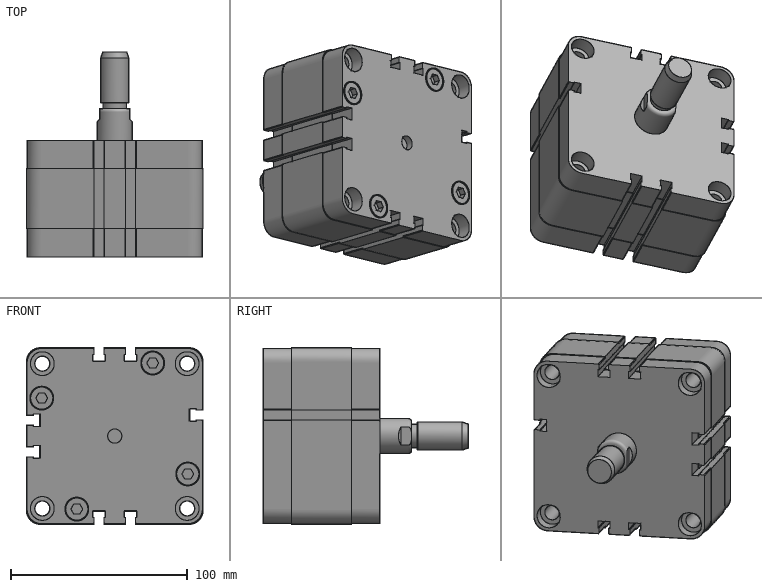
import cadquery as cq
import math

TOTAL_LENGTH = 116.0
HOUSING_LENGTH = 66.0
HOUSING_SIZE = 100.0
FRONT_CAP_LENGTH = 16.1
REAR_CAP_LENGTH = 16.0
CAP_INSET = 0.5
CORNER_RADIUS = 8.0

FRONT_Y = -TOTAL_LENGTH / 2
REAR_Y = FRONT_Y + HOUSING_LENGTH
ROD_END_Y = TOTAL_LENGTH / 2

SLOT_MOUTH_WIDTH = 5.6
SLOT_OVERSHOOT = 1.2
SLOT_MOUTH_DEPTH = 4.0
SLOT_HEAD_WIDTH = 7.0
SLOT_DEPTH = 7.4
SLOT_EDGE_CHAMFER = 0.5
SLOT_OFFSET = 8.9
SINGLE_SLOT_OFFSET = 12.0

MOUNT_OFFSET = 41.0
MOUNT_DIAMETER = 8.4
MOUNT_BORE_DIAMETER = 13.5
MOUNT_BORE_DEPTH = 8.5

SCREW_NEAR = 21.5
SCREW_FAR = 41.3
SCREW_BORE_DIAMETER = 13.5
SCREW_HEAD_DIAMETER = 12.5
SCREW_GAP_DEPTH = 0.6
HEX_FLATS = 5.8
HEX_DEPTH = 4.0

CENTRE_HOLE_DIAMETER = 8.0
CENTRE_HOLE_DEPTH = 4.4

ROD_DIAMETER = 20.0
ROD_SHOULDER_LENGTH = 18.0
ROD_FILLET = 2.0
THREAD_DIAMETER = 16.0
THREAD_LENGTH = 28.9
THREAD_TIP_DIAMETER = 13.7
THREAD_TIP_LENGTH = 3.5
THREAD_START_CHAMFER = 0.3
UNDERCUT_DIAMETER = 13.5
FLAT_SPACING = 17.0
FLAT_LENGTH = 6.0


def profile_plane(y):
    """Plane facing +Y at position y, with local axes (Z, X)."""
    return cq.Plane(origin=(0, y, 0), xDir=(0, 0, 1), normal=(0, 1, 0))


def cylinder(diameter, y_start, y_end, x=0.0, z=0.0):
    sketch = cq.Workplane(profile_plane(y_start)).center(z, x)
    return sketch.circle(diameter / 2).extrude(y_end - y_start)


def slot_cutter(inset, offset, turn, y_start, y_end):
    """T-slot in the +Z face at x = offset, turned about Y; cap slots get chamfered mouth edges."""
    face = HOUSING_SIZE / 2 - inset
    outside = face + SLOT_OVERSHOOT
    mouth = SLOT_MOUTH_WIDTH / 2
    ceiling = HOUSING_SIZE / 2 - SLOT_MOUTH_DEPTH
    floor = face - SLOT_DEPTH
    length = y_end - y_start
    stem = cq.Workplane(profile_plane(y_start)).moveTo((floor + outside) / 2, offset)
    stem = stem.rect(outside - floor, SLOT_MOUTH_WIDTH).extrude(length)
    undercut = cq.Workplane(profile_plane(y_start)).moveTo((floor + ceiling) / 2, offset)
    undercut = undercut.rect(ceiling - floor, SLOT_HEAD_WIDTH).extrude(length)
    cutter = stem.union(undercut)
    if inset > 0:
        flare = [
            (face - SLOT_EDGE_CHAMFER, offset - mouth),
            (face, offset - mouth - SLOT_EDGE_CHAMFER),
            (face, offset + mouth + SLOT_EDGE_CHAMFER),
            (face - SLOT_EDGE_CHAMFER, offset + mouth),
        ]
        cutter = cutter.union(cq.Workplane(profile_plane(y_start)).polyline(flare).close().extrude(length))
    return cutter.rotate((0, 0, 0), (0, 1, 0), turn)


def housing_section(inset, y_start, y_end):
    side = HOUSING_SIZE - 2 * inset
    section = cq.Workplane(profile_plane(y_start)).rect(side, side).extrude(y_end - y_start)
    section = section.edges("|Y").fillet(CORNER_RADIUS)
    for turn in (0, 180, 270):
        for offset in (-SLOT_OFFSET, SLOT_OFFSET):
            section = section.cut(slot_cutter(inset, offset, turn, y_start, y_end))
    return section.cut(slot_cutter(inset, -SINGLE_SLOT_OFFSET, 90, y_start, y_end))


def housing():
    barrel_start = FRONT_Y + FRONT_CAP_LENGTH
    barrel_end = REAR_Y - REAR_CAP_LENGTH
    front_cap = housing_section(CAP_INSET, FRONT_Y, barrel_start)
    barrel = housing_section(0.0, barrel_start, barrel_end)
    rear_cap = housing_section(CAP_INSET, barrel_end, REAR_Y)
    return front_cap.union(barrel).union(rear_cap)


def mounting_holes():
    cutter = cq.Workplane("XY")
    for x in (-MOUNT_OFFSET, MOUNT_OFFSET):
        for z in (-MOUNT_OFFSET, MOUNT_OFFSET):
            cutter = cutter.add(cylinder(MOUNT_DIAMETER, FRONT_Y, REAR_Y, x, z))
            cutter = cutter.add(cylinder(MOUNT_BORE_DIAMETER, FRONT_Y, FRONT_Y + MOUNT_BORE_DEPTH, x, z))
            cutter = cutter.add(cylinder(MOUNT_BORE_DIAMETER, REAR_Y - MOUNT_BORE_DEPTH, REAR_Y, x, z))
    return cutter.combine()


def screw_recesses():
    """Ring gaps around the screw heads and their hexagon sockets."""
    cutter = cq.Workplane("XY")
    corners_diameter = HEX_FLATS / math.cos(math.pi / 6)
    places = ((SCREW_NEAR, SCREW_FAR), (SCREW_FAR, -SCREW_NEAR),
              (-SCREW_NEAR, -SCREW_FAR), (-SCREW_FAR, SCREW_NEAR))
    for x, z in places:
        bore = cylinder(SCREW_BORE_DIAMETER, FRONT_Y, FRONT_Y + SCREW_GAP_DEPTH, x, z)
        head = cylinder(SCREW_HEAD_DIAMETER, FRONT_Y, FRONT_Y + SCREW_GAP_DEPTH, x, z)
        socket = cq.Workplane(profile_plane(FRONT_Y)).center(z, x)
        socket = socket.transformed(rotate=(0, 0, 90)).polygon(6, corners_diameter).extrude(HEX_DEPTH)
        cutter = cutter.add(bore.cut(head)).add(socket)
    return cutter.combine()


def piston_rod():
    shoulder_y = REAR_Y + ROD_SHOULDER_LENGTH
    thread_y = ROD_END_Y - THREAD_LENGTH
    rod_radius = ROD_DIAMETER / 2
    thread_radius = THREAD_DIAMETER / 2
    rod = cq.Workplane("XY").moveTo(0, REAR_Y).lineTo(rod_radius, REAR_Y)
    rod = rod.lineTo(rod_radius, shoulder_y - ROD_FILLET)
    rod = rod.radiusArc((rod_radius - ROD_FILLET, shoulder_y), -ROD_FILLET)
    rod = rod.lineTo(UNDERCUT_DIAMETER / 2, shoulder_y)
    rod = rod.lineTo(UNDERCUT_DIAMETER / 2, thread_y)
    rod = rod.lineTo(thread_radius - THREAD_START_CHAMFER, thread_y)
    rod = rod.lineTo(thread_radius, thread_y + THREAD_START_CHAMFER)
    rod = rod.lineTo(thread_radius, ROD_END_Y - THREAD_TIP_LENGTH)
    rod = rod.lineTo(THREAD_TIP_DIAMETER / 2, ROD_END_Y).lineTo(0, ROD_END_Y).close()
    rod = rod.revolve(360, (0, 0, 0), (0, 1, 0))

    flat_x = FLAT_SPACING / 2
    flat_y = shoulder_y - FLAT_LENGTH
    flat_outline = [
        (flat_x, shoulder_y),
        (flat_x, flat_y),
        (flat_x + ROD_DIAMETER, flat_y - ROD_DIAMETER),
        (flat_x + ROD_DIAMETER, shoulder_y),
    ]
    flat = cq.Workplane("XY").polyline(flat_outline).close().extrude(rod_radius, both=True)
    return rod.cut(flat).cut(flat.mirror("YZ"))


centre_hole = cylinder(CENTRE_HOLE_DIAMETER, FRONT_Y, FRONT_Y + CENTRE_HOLE_DEPTH)

result = housing().cut(mounting_holes()).cut(screw_recesses()).cut(centre_hole).union(piston_rod())